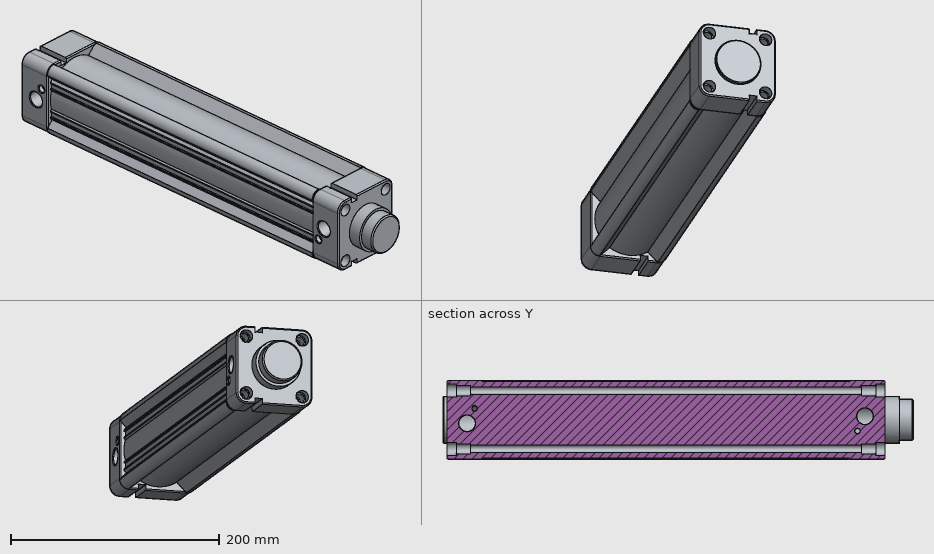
import cadquery as cq

total_length = 452.0
body_size = 76.0
half_size = body_size / 2
disc_length = 3.5
disc_chamfer = 1.0
nose_length = 27.0
cap_length = 35.0
cap_start = disc_length
cap_end = total_length - nose_length
middle_x = (cap_start + cap_end) / 2
tube_start = cap_start + cap_length
tube_end = cap_end - cap_length
tube_length = tube_end - tube_start

corner_radius = 10.0
cap_chamfer = 1.25
slot_near_y = -11.8
slot_far_y = -19.5
slot_depth = 5.5

rod_offset = half_size - corner_radius
rod_hole_diameter = 7.0
cap_hole_diameter = 9.5
cap_hole_depth = 22.5
rod_counterbore_diameter = 12.0
rod_counterbore_depth = 9.0

barrel_radius = 34.0
tube_corner_radius = 8.5
crest_flat = 0.5
slope_start = half_size - tube_corner_radius - crest_flat
slope_depth = 13.5

rail_face_y = -barrel_radius
rail_inner_z = 11.8
groove_inner_z = 12.5
groove_outer_z = 18.5
rail_outer_z = 20.0
groove_depth = 2.0
rail_root_y = -22.5

hole_chamfer = 1.0
port_inset = 19.5
port_z = 3.4
port_diameter = 16.0
screw_inset = 26.5
screw_z = 11.0
screw_head_diameter = 7.2
screw_head_depth = 5.5
screw_bore_diameter = 5.0
chamber_radius = 13.5
chamber_inset = 9.0

collar_diameter = 45.0
collar_length = 13.5
tip_diameter = 40.0
tip_chamfer = 1.5


def cylinder_along_x(diameter, start_x, length, y=0, z=0):
    return cq.Workplane("YZ", origin=(start_x, y, z)).circle(diameter / 2).extrude(length)


def cylinder_from_front(diameter, x, z, depth):
    """Cylinder reaching from the -Y face inwards."""
    return cq.Workplane("XZ", origin=(x, -half_size, z)).circle(diameter / 2).extrude(-depth)


def countersink_from_front(hole_diameter, x, z):
    """45 degree cone that chamfers the mouth of a hole in the -Y face."""
    return (
        cq.Workplane("XZ", origin=(x, -half_size, z))
        .circle(hole_diameter / 2 + hole_chamfer)
        .extrude(-hole_chamfer, taper=45)
    )


def box_between(x0, x1, y0, y1, z0, z1):
    return cq.Workplane("XY").box(x1 - x0, y1 - y0, z1 - z0, centered=False).translate((x0, y0, z0))


def turned_half_way_round(shape):
    """The right end repeats the left end, turned about a Y axis through the middle."""
    return shape.rotate((middle_x, 0, 0), (middle_x, 1, 0), 180)


def make_left_cap():
    cap = (
        cq.Workplane("YZ", origin=(cap_start, 0, 0))
        .rect(body_size, body_size)
        .extrude(cap_length)
        .edges("|X")
        .fillet(corner_radius)
        .faces("<X or >X")
        .chamfer(cap_chamfer)
    )
    for slot_bottom in (half_size - slot_depth, -half_size):
        cap = cap.cut(
            box_between(
                cap_start, tube_start, slot_far_y, slot_near_y, slot_bottom, slot_bottom + slot_depth
            )
        )
    return cap


def make_tube():
    tube = (
        cq.Workplane("YZ", origin=(tube_start, 0, 0))
        .rect(body_size, body_size)
        .extrude(tube_length)
        .edges("|X")
        .fillet(tube_corner_radius)
    )
    inner_half = slope_start - slope_depth
    opening = (
        cq.Workplane("YZ", origin=(tube_start, 0, 0))
        .polyline(
            [
                (-slope_start, half_size),
                (slope_start, half_size),
                (inner_half, half_size - slope_depth),
                (-inner_half, half_size - slope_depth),
            ]
        )
        .close()
        .extrude(tube_length)
        .cut(cylinder_along_x(2 * barrel_radius, tube_start, tube_length))
    )
    for quarter in range(4):
        tube = tube.cut(opening.rotate((0, 0, 0), (1, 0, 0), 90 * quarter))
    return tube


def make_sensor_rail(side):
    """Rail with 45 degree flanks, above (side = 1) or below (side = -1) the middle plane."""
    flank_run = rail_root_y - rail_face_y
    return (
        cq.Workplane("YZ", origin=(tube_start, 0, 0))
        .polyline(
            [
                (rail_face_y, side * rail_inner_z),
                (rail_face_y, side * rail_outer_z),
                (rail_root_y, side * (rail_outer_z + flank_run)),
                (rail_root_y, side * (rail_inner_z - flank_run)),
            ]
        )
        .close()
        .extrude(tube_length)
    )


def make_sensor_groove(side):
    low_z, high_z = sorted((side * groove_inner_z, side * groove_outer_z))
    return box_between(tube_start, tube_end, rail_face_y, rail_face_y + groove_depth, low_z, high_z)


def make_left_ports():
    """Air port and cushion screw hole, both opening into a round chamber inside the cap."""
    screw_x = cap_start + screw_inset
    chamber_start = cap_start + chamber_inset
    port_x = cap_start + port_inset
    return (
        cylinder_along_x(2 * chamber_radius, chamber_start, tube_start - chamber_start)
        .union(cylinder_from_front(port_diameter, port_x, -port_z, half_size))
        .union(countersink_from_front(port_diameter, port_x, -port_z))
        .union(cylinder_from_front(screw_bore_diameter, screw_x, screw_z, half_size))
        .union(cylinder_from_front(screw_head_diameter, screw_x, screw_z, screw_head_depth))
        .union(countersink_from_front(screw_head_diameter, screw_x, screw_z))
    )


def make_rod_bores(diameter, length):
    """Four bores along X, one in each corner, starting at the left cap's outer face."""
    bores = cq.Workplane("XY")
    for y in (-rod_offset, rod_offset):
        for z in (-rod_offset, rod_offset):
            bores = bores.union(cylinder_along_x(diameter, cap_start, length, y, z))
    return bores


def make_disc():
    return cylinder_along_x(collar_diameter, 0, disc_length).faces("<X").chamfer(disc_chamfer)


def make_nose():
    tip = cylinder_along_x(tip_diameter, cap_end, nose_length).faces(">X").chamfer(tip_chamfer)
    return cylinder_along_x(collar_diameter, cap_end, collar_length).union(tip)


result = make_tube()
for side in (1, -1):
    result = result.union(make_sensor_rail(side)).cut(make_sensor_groove(side))

left_cap = make_left_cap()
left_cuts = (
    make_left_ports()
    .union(make_rod_bores(rod_counterbore_diameter, rod_counterbore_depth))
    .union(make_rod_bores(cap_hole_diameter, cap_hole_depth))
)
result = (
    result.union(left_cap)
    .union(turned_half_way_round(left_cap))
    .cut(left_cuts)
    .cut(turned_half_way_round(left_cuts))
    .cut(make_rod_bores(rod_hole_diameter, cap_end - cap_start))
    .union(make_disc())
    .union(make_nose())
)